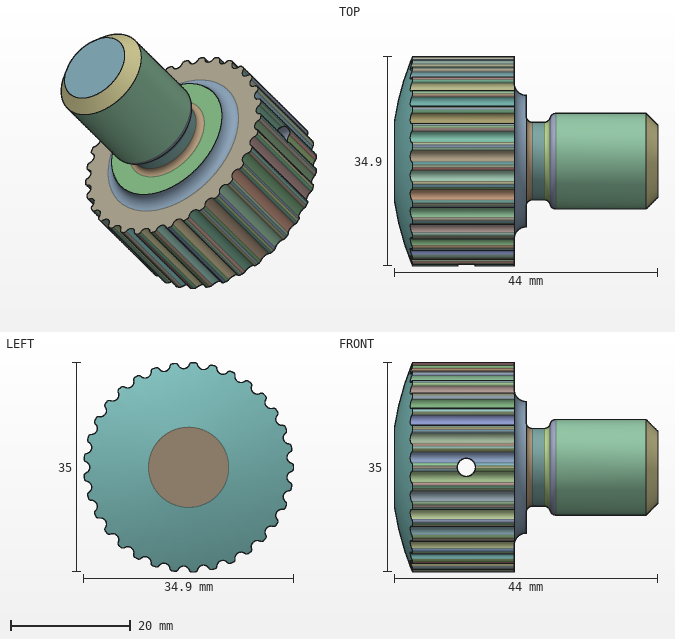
import cadquery as cq
import math


head_radius = 17.5
head_length = 20.0
dome_radius = 45.0
front_flat_radius = 6.7

flute_count = 33
flute_radius = 1.0
tooth_round = 0.5

cross_hole_diameter = 3.0
cross_hole_x = 12.0

collar_radius = 11.0
collar_length = 2.0
collar_fillet = 2.0

neck_radius = 6.5
neck_length = 2.0
neck_fillet = 1.0
shank_radius = 8.0
shank_end_chamfer = 2.0
total_length = 44.0

collar_end = head_length + collar_length
neck_start = collar_end + neck_fillet
neck_end = neck_start + neck_length


def polar(radius, angle):
    """Point of the head's cross-section at a radius and an angle in radians."""
    return (radius * math.cos(angle), radius * math.sin(angle))


def toward(start, end, distance):
    """Point at a distance from start, in the direction of end."""
    length = math.dist(start, end)
    return tuple(s + (e - s) * distance / length for s, e in zip(start, end))


def dome_x(radius):
    """X of the spherical dome at a radius from the axis."""
    sphere_centre_x = math.sqrt(dome_radius**2 - front_flat_radius**2)
    return sphere_centre_x - math.sqrt(dome_radius**2 - radius**2)


def make_head_blank():
    """Domed round head without flutes."""
    dome_mid_radius = (front_flat_radius + head_radius) / 2
    return (
        cq.Workplane("XY")
        .lineTo(0, front_flat_radius)
        .threePointArc((dome_x(dome_mid_radius), dome_mid_radius), (dome_x(head_radius), head_radius))
        .lineTo(head_length, head_radius)
        .lineTo(head_length, 0)
        .close()
        .revolve(360, (0, 0, 0), (1, 0, 0))
    )


def make_fluted_bar():
    """Bar with the fluted cross-section, one tooth pointing to -Y."""
    pitch = 2 * math.pi / flute_count
    first_tooth = math.pi
    round_centre_radius = head_radius - tooth_round
    flute_to_round = math.acos(
        (head_radius**2 + round_centre_radius**2 - (flute_radius + tooth_round) ** 2)
        / (2 * head_radius * round_centre_radius)
    )
    tip_half_angle = pitch / 2 - flute_to_round

    def corner(tooth, side):
        """Rim end, middle and flute end of the round on one side of a tooth."""
        rim_angle = tooth + side * tip_half_angle
        centre = polar(round_centre_radius, rim_angle)
        flute_centre = polar(head_radius, tooth + side * pitch / 2)
        rim_point = polar(head_radius, rim_angle)
        flute_point = toward(centre, flute_centre, tooth_round)
        chord_middle = tuple((a + b) / 2 for a, b in zip(rim_point, flute_point))
        return rim_point, toward(centre, chord_middle, tooth_round), flute_point

    section = cq.Workplane("YZ").moveTo(*corner(first_tooth, -1)[2])
    for index in range(flute_count):
        tooth = first_tooth + index * pitch
        rim_start, middle_in, _ = corner(tooth, -1)
        rim_end, middle_out, flute_start = corner(tooth, 1)
        flute_bottom = polar(head_radius - flute_radius, tooth + pitch / 2)
        flute_end = corner(tooth + pitch, -1)[2]
        section = section.threePointArc(middle_in, rim_start)
        section = section.threePointArc(polar(head_radius, tooth), rim_end)
        section = section.threePointArc(middle_out, flute_start)
        section = section.threePointArc(flute_bottom, flute_end)
    return section.close().extrude(head_length)


def make_stem():
    """Collar, neck and shank, starting at the rear face of the head."""
    diagonal = math.sqrt(0.5)
    rise = shank_radius - neck_radius
    half_run = math.sqrt(neck_fillet**2 - (neck_fillet - rise / 2) ** 2)
    shank_start = neck_end + 2 * half_run
    arc_half_angle = math.asin(half_run / neck_fillet) / 2
    arc_mid_run = neck_fillet * math.sin(arc_half_angle)
    arc_mid_rise = neck_fillet * (1 - math.cos(arc_half_angle))

    collar_arc_middle = (
        head_length + collar_fillet * (1 - diagonal),
        collar_radius + collar_fillet * (1 - diagonal),
    )
    neck_arc_middle = (
        neck_start - neck_fillet * diagonal,
        neck_radius + neck_fillet * (1 - diagonal),
    )
    return (
        cq.Workplane("XY")
        .moveTo(head_length, 0)
        .lineTo(head_length, collar_radius + collar_fillet)
        .threePointArc(collar_arc_middle, (head_length + collar_fillet, collar_radius))
        .lineTo(collar_end, neck_radius + neck_fillet)
        .threePointArc(neck_arc_middle, (neck_start, neck_radius))
        .lineTo(neck_end, neck_radius)
        .threePointArc(
            (neck_end + arc_mid_run, neck_radius + arc_mid_rise),
            (neck_end + half_run, neck_radius + rise / 2),
        )
        .threePointArc(
            (shank_start - arc_mid_run, shank_radius - arc_mid_rise),
            (shank_start, shank_radius),
        )
        .lineTo(total_length - shank_end_chamfer, shank_radius)
        .lineTo(total_length, shank_radius - shank_end_chamfer)
        .lineTo(total_length, 0)
        .close()
        .revolve(360, (0, 0, 0), (1, 0, 0))
    )


def make_cross_hole():
    """Cylinder along Y that crosses the whole head."""
    return (
        cq.Workplane("XZ")
        .center(cross_hole_x, 0)
        .circle(cross_hole_diameter / 2)
        .extrude(head_radius, both=True)
    )


head = make_head_blank().intersect(make_fluted_bar())
result = head.union(make_stem()).cut(make_cross_hole())